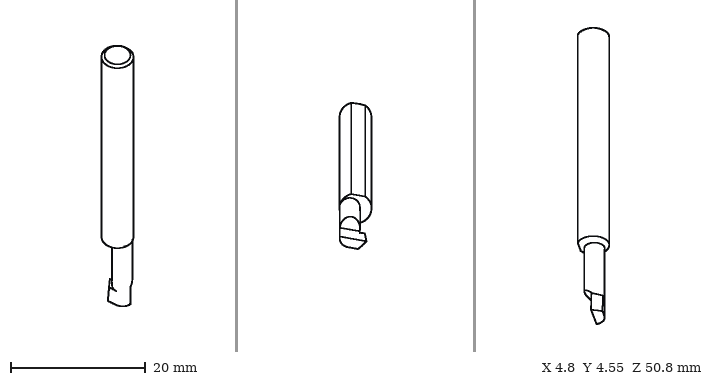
import cadquery as cq

total_length = 50.8
shank_radius = 2.4
flat_y = 2.15
shoulder_z = 12.8
chamfer_inset = 0.45
chamfer_height = 0.35

neck_radius = 1.5
neck_x = shank_radius - neck_radius

rake_y = 0.0
ramp_low_z = 3.7
ramp_high_z = 5.1

head_top_z = 3.2
tip_x = -1.7
relief_x = -1.0
relief_y = -1.05
heel_x = -0.65
head_lean = 0.25

end_rise_x = 0.125
end_rise_y = 0.18


def make_shank():
    length = total_length - shoulder_z
    bar = cq.Workplane("XY").workplane(offset=shoulder_z).circle(shank_radius).extrude(length)
    bar = bar.faces(">Z").chamfer(chamfer_height, chamfer_inset)
    flat_keeper = cq.Workplane("XY").box(
        2 * shank_radius, shank_radius + flat_y, total_length, centered=(True, False, False)
    )
    return bar.intersect(flat_keeper.translate((0, -shank_radius, 0)))


def make_neck():
    neck = cq.Workplane("XY").center(neck_x, 0).circle(neck_radius).extrude(shoulder_z)
    clearance = (
        cq.Workplane("YZ")
        .moveTo(rake_y, 0)
        .lineTo(rake_y, ramp_low_z)
        .lineTo(neck_radius, ramp_high_z)
        .lineTo(neck_radius, 0)
        .close()
        .extrude(2 * shank_radius, both=True)
    )
    return neck.cut(clearance)


def head_outline(lean):
    return [
        (tip_x + lean, rake_y),
        (relief_x + lean, relief_y),
        (heel_x + lean, -neck_radius),
        (neck_x, -neck_radius),
        (neck_x, rake_y),
    ]


def make_head():
    return (
        cq.Workplane("XY")
        .polyline(head_outline(0))
        .close()
        .workplane(offset=head_top_z)
        .polyline(head_outline(head_lean))
        .close()
        .loft(ruled=True)
    )


def make_end_clearance():
    run_x = shank_radius - tip_x
    plane_normal = (-end_rise_x / run_x, end_rise_y / neck_radius, 1)
    end_plane = cq.Plane(origin=(tip_x, rake_y, 0), normal=plane_normal)
    return cq.Workplane(end_plane).rect(4 * run_x, 4 * run_x).extrude(-shank_radius)


tool = make_shank().union(make_neck()).union(make_head())
result = tool.cut(make_end_clearance())